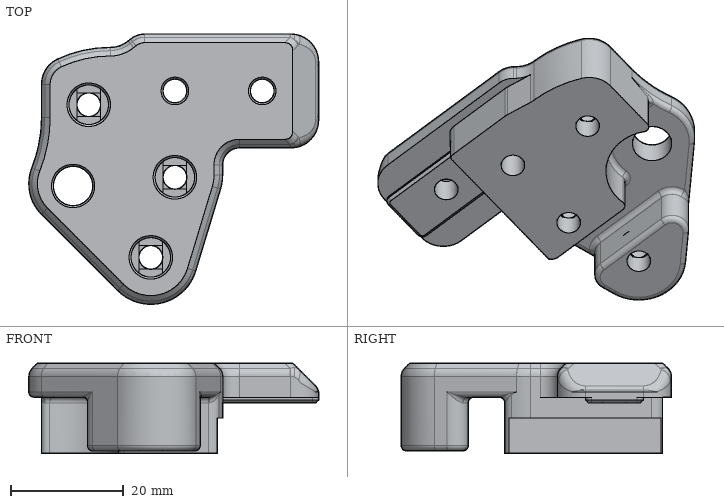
import cadquery as cq
import math

TOP_Z = 16.0
PLATE_BOTTOM_Z = 9.95
PAD_BOTTOM_Z = 8.95
FOOT_STEP_Z = 6.25
PILLAR_BOTTOM_Z = 0.4

LENGTH = 51.5
DEPTH = 48.0
BODY_RIGHT_X = 34.45
LEFT_WALL_X = 2.25
ARM_FRONT_Y = 27.75

TOP_CHAMFER = 1.55
BLEND_RADIUS = 2.0
SMALL_RADIUS = 1.0
NOSE_CHAMFER = 4.65

OVERLAP_Z = PLATE_BOTTOM_Z + SMALL_RADIUS

TOUCH = 0.0005

BORE_DIAMETER = 7.0
LOCATING_DIAMETER = 6.95
SCREW_DIAMETER = 4.15
MOUTH_CHAMFER = 0.35
BORE_DEPTH = 10.0
BRIDGE_STEP = 0.3

CORNER_HOLE = (10.65, 35.45)
LOCATING_HOLE = (7.9, 21.0)
MIDDLE_HOLE = (25.95, 22.55)
TIP_HOLE = (21.7, 8.35)
ARM_HOLE_Y = (ARM_FRONT_Y + DEPTH) / 2
ARM_HOLES = [(MIDDLE_HOLE[0], ARM_HOLE_Y), (41.45, ARM_HOLE_Y)]

TIP_RADIUS = TIP_HOLE[1]
LOBE_RADIUS = 7.7
LOBE_Y = 21.45
SIDE_Y = 22.95
CORNER_RADIUS = 5.0
ELBOW_RADIUS = 3.0
SHOULDER_RADIUS = 4.0
SHOULDER_X = 20.6
ARCH_RADIUS = 22.15
ARCH_TOP_Y = 45.65
CORNER_Y = 39.05
WAIST_RADIUS = 24.0

LOBE = (LOBE_RADIUS, LOBE_Y, LOBE_RADIUS)
TIP = (*TIP_HOLE, TIP_RADIUS)
SIDE = (MIDDLE_HOLE[0], SIDE_Y, BODY_RIGHT_X - MIDDLE_HOLE[0])
ELBOW = (BODY_RIGHT_X + ELBOW_RADIUS, ARM_FRONT_Y - ELBOW_RADIUS, -ELBOW_RADIUS)
ARM_FRONT = (LENGTH - CORNER_RADIUS, ARM_FRONT_Y + CORNER_RADIUS, CORNER_RADIUS)
ARM_REAR = (LENGTH - CORNER_RADIUS, DEPTH - CORNER_RADIUS, CORNER_RADIUS)
SHOULDER = (SHOULDER_X, DEPTH - SHOULDER_RADIUS, SHOULDER_RADIUS)
CORNER = (LEFT_WALL_X + CORNER_RADIUS, CORNER_Y, CORNER_RADIUS)

ARCH_Y = ARCH_TOP_Y - ARCH_RADIUS
ARCH_X = CORNER[0] + math.sqrt((ARCH_RADIUS - CORNER_RADIUS) ** 2 - (CORNER_Y - ARCH_Y) ** 2)
ARCH = (ARCH_X, ARCH_Y, ARCH_RADIUS)
DIP = (ARCH_X, ARCH_TOP_Y + CORNER_RADIUS, -CORNER_RADIUS)

WAIST_X = LEFT_WALL_X - WAIST_RADIUS
WAIST_RISE = math.sqrt((WAIST_RADIUS + LOBE_RADIUS) ** 2 - (LOBE[0] - WAIST_X) ** 2)
WAIST = (WAIST_X, LOBE[1] + WAIST_RISE, -WAIST_RADIUS)

FOOT_FRONT_Y = 18.4
FOOT_REAR_Y = 46.45
STEP_X = 33.5
FOOT_CORNER_RADIUS = 2.0
CLEARANCE_RADIUS = 8.2

PILLAR_REAR_Y = 11.95
PILLAR_CORNER_RADIUS = 2.95

PAD_CORNER_RADIUS = 1.1
PAD_EDGE_CHAMFER = 0.5


def tangent_points(first, second):
    """End points of the straight run that leaves one arc and meets the next, counter-clockwise."""
    dx = second[0] - first[0]
    dy = second[1] - first[1]
    ratio = (second[2] - first[2]) / math.hypot(dx, dy)
    angle = math.atan2(dy, dx) - math.asin(max(-1.0, min(1.0, ratio)))
    normal = (-math.sin(angle), math.cos(angle))
    return [(x - normal[0] * r, y - normal[1] * r) for x, y, r in (first, second)]


def outline(arcs):
    """Closed counter-clockwise outline of arcs joined by their common tangents."""
    count = len(arcs)
    runs = [tangent_points(arcs[i], arcs[(i + 1) % count]) for i in range(count)]
    current = runs[-1][1]
    sketch = cq.Workplane("XY").moveTo(*current)
    for (x, y, radius), (leave, meet) in zip(arcs, runs):
        start_angle = math.atan2(current[1] - y, current[0] - x)
        sweep = math.atan2(leave[1] - y, leave[0] - x) - start_angle
        sweep = sweep % (2 * math.pi) if radius > 0 else -(-sweep % (2 * math.pi))
        middle_angle = start_angle + sweep / 2
        middle = (x + abs(radius) * math.cos(middle_angle), y + abs(radius) * math.sin(middle_angle))
        sketch = sketch.threePointArc(middle, leave)
        current = leave
        if math.dist(leave, meet) > TOUCH:
            sketch = sketch.lineTo(*meet)
            current = meet
    return sketch.close()


def box(x0, x1, y0, y1, z0, z1):
    """Box between opposite limits on each axis."""
    return cq.Workplane("XY").box(x1 - x0, y1 - y0, z1 - z0, centered=False).translate((x0, y0, z0))


PLATE_ARCS = [LOBE, TIP, SIDE, ELBOW, ARM_FRONT, ARM_REAR, SHOULDER, DIP, ARCH, CORNER, WAIST]


def plate_prism(z0, z1):
    """Plain prism of the plate outline between two heights."""
    return outline(PLATE_ARCS).extrude(z1 - z0).translate((0, 0, z0))


def edges_between(solid, z0, z1):
    """Edges that lie wholly between two heights."""
    boxes = [(edge, edge.BoundingBox()) for edge in solid.edges().vals()]
    return solid.newObject([edge for edge, size in boxes if size.zmin > z0 and size.zmax < z1])


def make_plate():
    """Top plate with a sloped nose and blended rim."""
    plate = plate_prism(PLATE_BOTTOM_Z, TOP_Z).faces(">Z").edges().chamfer(TOP_CHAMFER)
    nose = (
        cq.Workplane("XZ")
        .moveTo(LENGTH - NOSE_CHAMFER, TOP_Z)
        .lineTo(LENGTH, TOP_Z)
        .lineTo(LENGTH, TOP_Z - NOSE_CHAMFER)
        .close()
        .extrude(-DEPTH)
    )
    plate = plate.cut(nose)
    plate = plate.edges("%PARABOLA").fillet(BLEND_RADIUS)
    rim_z = TOP_Z - TOP_CHAMFER
    nose_foot_z = TOP_Z - NOSE_CHAMFER
    plate = edges_between(plate, nose_foot_z - TOUCH, rim_z + TOUCH).fillet(BLEND_RADIUS)
    plate = plate.faces("<Z").edges().fillet(SMALL_RADIUS)
    square_edge = plate_prism(PLATE_BOTTOM_Z, OVERLAP_Z)
    rear = box(0, LENGTH, WAIST[1], DEPTH, PLATE_BOTTOM_Z, OVERLAP_Z)
    arm = box(BODY_RIGHT_X - SMALL_RADIUS, LENGTH, MIDDLE_HOLE[1], DEPTH, PLATE_BOTTOM_Z, OVERLAP_Z)
    return plate.union(square_edge.intersect(rear.union(arm)))


def make_foot():
    """Main support, hollowed around the locating hole and stepped on its right side."""
    hole_x, hole_y = LOCATING_HOLE
    toe_x = LEFT_WALL_X + SMALL_RADIUS
    reach = CLEARANCE_RADIUS + SMALL_RADIUS
    toe_y = hole_y + math.sqrt(reach**2 - (hole_x - toe_x) ** 2)
    heel_y = FOOT_FRONT_Y + SMALL_RADIUS
    heel_x = hole_x + math.sqrt(reach**2 - (hole_y - heel_y) ** 2)
    front_y = FOOT_FRONT_Y + FOOT_CORNER_RADIUS
    front_x = SIDE[0] + math.sqrt((SIDE[2] - FOOT_CORNER_RADIUS) ** 2 - (SIDE[1] - front_y) ** 2)
    foot_arcs = [
        (toe_x, toe_y, SMALL_RADIUS),
        (hole_x, hole_y, -CLEARANCE_RADIUS),
        (heel_x, heel_y, SMALL_RADIUS),
        (front_x, front_y, FOOT_CORNER_RADIUS),
        SIDE,
        (BODY_RIGHT_X - FOOT_CORNER_RADIUS, FOOT_REAR_Y - FOOT_CORNER_RADIUS, FOOT_CORNER_RADIUS),
        (SHOULDER_X, FOOT_REAR_Y - SHOULDER_RADIUS, SHOULDER_RADIUS),
        DIP,
        ARCH,
        CORNER,
    ]
    foot = outline(foot_arcs).extrude(OVERLAP_Z)
    return foot.cut(box(STEP_X, LENGTH, 0, DEPTH, 0, FOOT_STEP_Z))


def make_pillar():
    """Support under the tip, following the plate outline."""
    pillar = plate_prism(PILLAR_BOTTOM_Z, OVERLAP_Z)
    pillar = pillar.intersect(box(0, LENGTH, 0, PILLAR_REAR_Y, PILLAR_BOTTOM_Z, OVERLAP_Z))
    pillar = pillar.edges("|Z and >Y").fillet(PILLAR_CORNER_RADIUS)
    return pillar.faces("<Z").edges().fillet(SMALL_RADIUS)


def make_pad():
    """Low pad under the arm, reaching its outer end."""
    pad = box(
        BODY_RIGHT_X - SMALL_RADIUS, LENGTH, ARM_FRONT[1], ARM_REAR[1], PAD_BOTTOM_Z, PLATE_BOTTOM_Z
    )
    pad = pad.edges("|Z and >X").fillet(PAD_CORNER_RADIUS)
    return pad.faces("<Z").edges("not <X").chamfer(PAD_EDGE_CHAMFER)


def round_hole(centre, diameter):
    """Through hole with a chamfered mouth."""
    radius = diameter / 2
    hole = cq.Workplane("XY").circle(radius).extrude(TOP_Z)
    mouth_base = cq.Vector(0, 0, TOP_Z - MOUTH_CHAMFER)
    mouth = cq.Solid.makeCone(radius, radius + MOUTH_CHAMFER, MOUTH_CHAMFER, pnt=mouth_base)
    return hole.union(cq.Workplane(mouth)).translate(centre)


def stepped_hole(centre):
    """Counterbored screw hole whose floor steps down through a slot and a square."""
    floor_z = TOP_Z - BORE_DEPTH
    bore = round_hole(centre, BORE_DIAMETER)
    deep_bore = bore.intersect(box(0, LENGTH, 0, DEPTH, floor_z, TOP_Z))
    half = SCREW_DIAMETER / 2
    x, y = centre
    slot = box(x - half, x + half, 0, DEPTH, floor_z - BRIDGE_STEP, floor_z).intersect(bore)
    square = box(x - half, x + half, y - half, y + half, floor_z - 2 * BRIDGE_STEP, floor_z)
    screw = cq.Workplane("XY").center(x, y).circle(half).extrude(floor_z)
    return deep_bore.union(slot).union(square).union(screw)


def blend_root(solid, radius):
    """Fillet the support root that holds an arc of the given radius in the plate underside."""
    ceiling = edges_between(solid, PLATE_BOTTOM_Z - TOUCH, PLATE_BOTTOM_Z + TOUCH)
    arcs = [arc for arc in ceiling.edges("%CIRCLE").vals() if abs(arc.radius() - radius) < TOUCH]
    return solid.newObject(arcs[:1]).fillet(SMALL_RADIUS)


result = make_plate().union(make_foot()).union(make_pillar())
for root_arc_radius in (CLEARANCE_RADIUS, PILLAR_CORNER_RADIUS):
    result = blend_root(result, root_arc_radius)
result = result.union(make_pad())
for centre in ARM_HOLES:
    result = result.cut(round_hole(centre, SCREW_DIAMETER))
result = result.cut(round_hole(LOCATING_HOLE, LOCATING_DIAMETER))
for centre in (CORNER_HOLE, MIDDLE_HOLE, TIP_HOLE):
    result = result.cut(stepped_hole(centre))